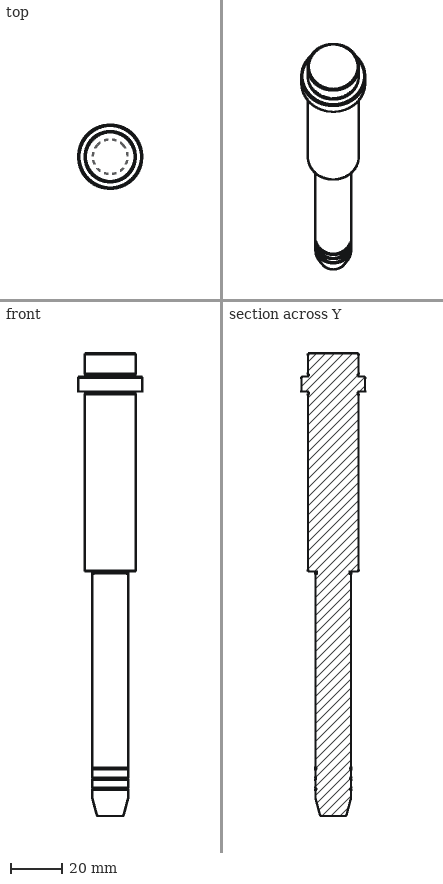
import cadquery as cq
import math

total_length = 180.0
head_height = 9.0
flange_height = 6.0
body_length = 70.0
flange_top = total_length - head_height
flange_bottom = flange_top - flange_height
body_bottom = flange_bottom - body_length

flange_radius = 25.0 / 2
body_radius = 20.0 / 2
pin_radius = 14.0 / 2

flange_chamfer = 0.5
body_chamfer = 0.5
head_chamfer = 0.5

relief_width = 1.0
relief_depth = 0.5
neck_width = 0.7
neck_depth = 0.5

taper_length = 7.0
taper_angle = 15
tip_fillet = 0.9
tip_radius = pin_radius - taper_length * math.tan(math.radians(taper_angle))

ring_count = 3
ring_pitch = 4.0
ring_width = 0.9
ring_depth = 0.4
lowest_ring_height = 10.6


def cylinder(radius, bottom, top):
    return cq.Workplane("XY").workplane(offset=bottom).circle(radius).extrude(top - bottom)


def ring(outer_radius, inner_radius, bottom, width):
    """Square-sided ring, cut away to leave a groove."""
    return cylinder(outer_radius, bottom, bottom + width).cut(
        cylinder(inner_radius, bottom, bottom + width)
    )


def v_groove(surface_radius, depth, width, centre_height):
    """Ring of triangular section, cut away to leave a V-shaped groove."""
    return (
        cq.Workplane("XZ")
        .moveTo(surface_radius, centre_height - width / 2)
        .lineTo(surface_radius, centre_height + width / 2)
        .lineTo(surface_radius - depth, centre_height)
        .close()
        .revolve(360, (0, 0, 0), (0, 1, 0))
    )


pin = (
    cq.Workplane("XZ")
    .lineTo(tip_radius, 0)
    .lineTo(pin_radius, taper_length)
    .lineTo(pin_radius, body_bottom)
    .lineTo(0, body_bottom)
    .close()
    .revolve(360, (0, 0, 0), (0, 1, 0))
    .faces("<Z").edges().fillet(tip_fillet)
)

body = (
    cylinder(body_radius, body_bottom, total_length)
    .faces("<Z").edges().chamfer(body_chamfer)
    .faces(">Z").edges().chamfer(head_chamfer)
)
flange = (
    cylinder(flange_radius, flange_bottom, flange_top)
    .faces(">Z").edges().chamfer(flange_chamfer)
)
result = pin.union(body)

for relief_centre in (flange_top + relief_width / 2, flange_bottom - relief_width / 2):
    result = result.cut(v_groove(body_radius, relief_depth, relief_width, relief_centre))
result = result.union(flange)

neck = ring(pin_radius, pin_radius - neck_depth, body_bottom - neck_width, neck_width)
result = result.cut(neck)

for index in range(ring_count):
    ring_height = lowest_ring_height + index * ring_pitch
    result = result.cut(v_groove(pin_radius, ring_depth, ring_width, ring_height))